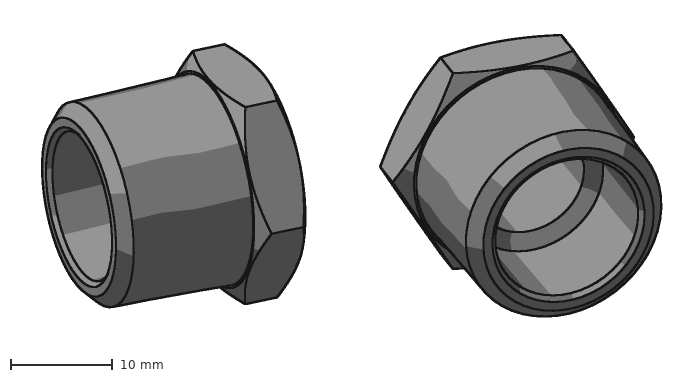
import cadquery as cq
import math

ACROSS_CORNERS = 25.4
TOTAL_LENGTH = 19.5
HEX_LENGTH = 5.5

HEX_FACE_RADIUS = 10.87
HEX_CHAMFER_ANGLE = 30.0

SPIGOT_ROOT_RADIUS = 10.62
SPIGOT_END_RADIUS = 10.29
SPIGOT_CHAMFER = 1.32

MOUTH_RADIUS = 8.0
BORE_RADIUS = 7.52
THROUGH_RADIUS = 5.77
BORE_DEPTH = 10.0
BORE_FLOOR_ANGLE = 22.0

FRONT_Y = -TOTAL_LENGTH / 2
BACK_Y = TOTAL_LENGTH / 2
HEX_FRONT_Y = BACK_Y - HEX_LENGTH


def revolve_about_y(points):
    """Turn a closed (radius, y) outline about the Y axis."""
    outline = [(y, radius) for radius, y in points]
    return cq.Workplane("YZ").polyline(outline).close().revolve(360, (0, 0, 0), (1, 0, 0))


def make_hexagon():
    """Hexagon with corners on X, chamfered on both faces."""
    prism = (
        cq.Workplane("XZ", origin=(0, BACK_Y, 0))
        .polygon(6, ACROSS_CORNERS)
        .extrude(HEX_LENGTH)
    )
    corner_radius = ACROSS_CORNERS / 2
    chamfer_depth = (corner_radius - HEX_FACE_RADIUS) * math.tan(math.radians(HEX_CHAMFER_ANGLE))
    envelope = revolve_about_y([
        (0, HEX_FRONT_Y),
        (HEX_FACE_RADIUS, HEX_FRONT_Y),
        (corner_radius, HEX_FRONT_Y + chamfer_depth),
        (corner_radius, BACK_Y - chamfer_depth),
        (HEX_FACE_RADIUS, BACK_Y),
        (0, BACK_Y),
    ])
    return prism.intersect(envelope)


def make_spigot():
    """Tapered spigot with a 45 degree chamfer at its free end."""
    return revolve_about_y([
        (0, FRONT_Y),
        (SPIGOT_END_RADIUS - SPIGOT_CHAMFER, FRONT_Y),
        (SPIGOT_END_RADIUS, FRONT_Y + SPIGOT_CHAMFER),
        (SPIGOT_ROOT_RADIUS, HEX_FRONT_Y),
        (0, HEX_FRONT_Y),
    ])


def make_bore():
    """Bore with a chamfered mouth and a conical floor leading to the through hole."""
    mouth_chamfer = MOUTH_RADIUS - BORE_RADIUS
    floor_y = FRONT_Y + BORE_DEPTH
    floor_rise = (BORE_RADIUS - THROUGH_RADIUS) * math.tan(math.radians(BORE_FLOOR_ANGLE))
    return revolve_about_y([
        (0, FRONT_Y),
        (MOUTH_RADIUS, FRONT_Y),
        (BORE_RADIUS, FRONT_Y + mouth_chamfer),
        (BORE_RADIUS, floor_y),
        (THROUGH_RADIUS, floor_y + floor_rise),
        (THROUGH_RADIUS, BACK_Y),
        (0, BACK_Y),
    ])


result = make_hexagon().union(make_spigot()).cut(make_bore())